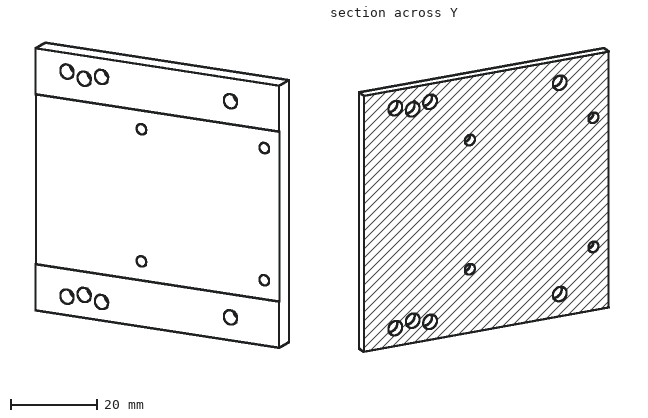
import cadquery as cq

side = 63.5
thickness = 5.0

recess_height = 41.15
recess_depth = 0.25

small_diameter = 2.5
small_spacing = 32.0
small_center_x = 11.75

mount_diameter = 3.45
inner_mount_x = 19.05
inner_mount_z = 26.17
outer_mount_x_offset = 4.5
outer_mount_z = 27.25


def make_plate():
    return cq.Workplane("XY").box(side, thickness, side)


def cut_recess(body):
    tool = cq.Workplane("XY").box(side, recess_depth, recess_height)
    front_y = -thickness / 2
    return body.cut(tool.translate((0, front_y + recess_depth / 2, 0)))


def drill_through(body, points, diameter):
    """Drill holes along Y at the given (x, z) points."""
    drills = (
        cq.Workplane("XZ")
        .pushPoints(points)
        .circle(diameter / 2)
        .extrude(thickness, both=True)
    )
    return body.cut(drills)


def small_hole_points():
    half = small_spacing / 2
    return [(small_center_x + sx * half, sz * half) for sx in (-1, 1) for sz in (-1, 1)]


def mount_hole_points():
    points = []
    for sz in (-1, 1):
        points.append((inner_mount_x, sz * inner_mount_z))
        points.append((-inner_mount_x, sz * inner_mount_z))
        points.append((-inner_mount_x - outer_mount_x_offset, sz * outer_mount_z))
        points.append((-inner_mount_x + outer_mount_x_offset, sz * outer_mount_z))
    return points


plate = cut_recess(make_plate())
plate = drill_through(plate, small_hole_points(), small_diameter)
result = drill_through(plate, mount_hole_points(), mount_diameter)